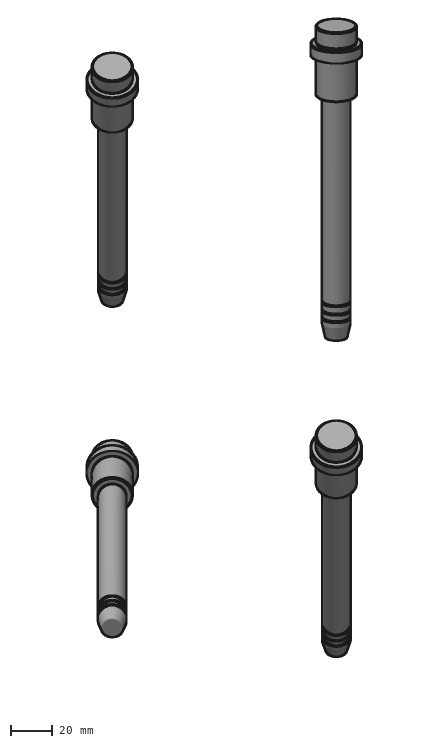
import cadquery as cq

total_length = 161.0
collar_diameter = 25.0
body_diameter = 20.0
shaft_diameter = 14.0
tip_diameter = 10.8

collar_top = total_length - 9.0
collar_bottom = total_length - 15.0
body_bottom = total_length - 36.0
tip_height = 7.2

body_chamfer = 0.6
collar_chamfer = 0.5
tip_fillet = 0.8

relief_width = 1.0
relief_depth = 0.3

oil_groove_width = 1.0
oil_groove_depth = 0.5
oil_groove_centers = (10.5, 14.3, 18.7)


def cylinder(diameter, bottom, top):
    return cq.Workplane("XY").workplane(offset=bottom).circle(diameter / 2).extrude(top - bottom)


def cut_ring(part, profile):
    """Cut the ring swept by a closed (radius, height) profile around the axis."""
    ring = cq.Workplane("XZ").polyline(profile).close().revolve(360, (0, 0, 0), (0, 1, 0))
    return part.cut(ring)


def cut_relief(part, diameter, shoulder, direction):
    """Cut a groove from a shoulder, sloping back out; direction is +1 for up, -1 for down."""
    radius = diameter / 2
    floor_radius = radius - relief_depth
    far_end = shoulder + direction * relief_width
    slope_start = far_end - direction * relief_depth
    profile = [
        (radius, shoulder),
        (floor_radius, shoulder),
        (floor_radius, slope_start),
        (radius, far_end),
    ]
    return cut_ring(part, profile)


def cut_oil_groove(part, center):
    radius = shaft_diameter / 2
    half_width = oil_groove_width / 2
    profile = [
        (radius, center - half_width),
        (radius - oil_groove_depth, center),
        (radius, center + half_width),
    ]
    return cut_ring(part, profile)


tip = (
    cq.Workplane("XY")
    .circle(tip_diameter / 2)
    .workplane(offset=tip_height)
    .circle(shaft_diameter / 2)
    .loft()
    .faces("<Z")
    .edges()
    .fillet(tip_fillet)
)

shaft = cylinder(shaft_diameter, tip_height, body_bottom)
shaft = cut_relief(shaft, shaft_diameter, body_bottom, -1)
for groove_center in oil_groove_centers:
    shaft = cut_oil_groove(shaft, groove_center)

body = cylinder(body_diameter, body_bottom, total_length)
body = body.faces("<Z or >Z").edges().chamfer(body_chamfer)
body = cut_relief(body, body_diameter, collar_top, 1)
body = cut_relief(body, body_diameter, collar_bottom, -1)

collar = cylinder(collar_diameter, collar_bottom, collar_top).faces(">Z").edges().chamfer(collar_chamfer)

result = tip.union(shaft).union(body).union(collar)